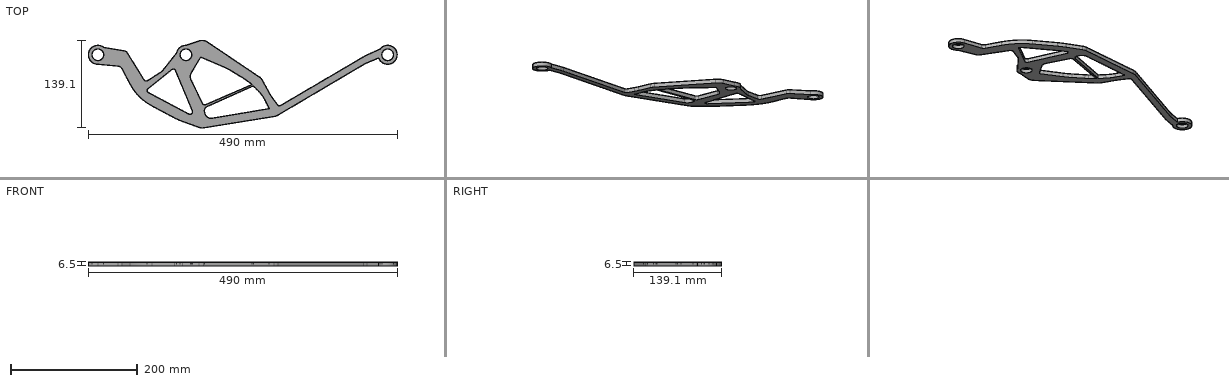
import cadquery as cq
import math

THICKNESS = 6.5
TOTAL_LENGTH = 490
HOLE_DIAMETER = 18.0
EYE_DIAMETER = 30.5
MIDDLE_HOLE_X = 139.5

EYE_RADIUS = EYE_DIAMETER / 2
RIGHT_HOLE_X = TOTAL_LENGTH - EYE_DIAMETER
HOLE_CENTRES = [(0, 0), (MIDDLE_HOLE_X, 0), (RIGHT_HOLE_X, 0)]

BODY_CORNERS = [
    (0, -EYE_RADIUS, 0),
    (36.5, -18.5, 7.5),
    (62.5, -69.0, 83.5),
    (127.5, -103.5, 98),
    (164.0, -116.5, 14.5),
    (282.5, -97.5, 19.5),
    (424.0, -14.0, 49),
    (446, -5, 0),
    (RIGHT_HOLE_X, 0, 0),
    (449.0, 10, 0),
    (425.0, -1.0, 49),
    (287.0, -82.0, 3.0),
    (275.0, -65.5, 49),
    (259.0, -37.0, 14.5),
    (167.5, 24.5, 14.5),
    (MIDDLE_HOLE_X, EYE_RADIUS, 0),
    (125.5, 4.0, 0),
    (102.0, -26.0, 14.5),
    (75.5, -43.0, 4.5),
    (45.0, 6.0, 7.5),
    (10, 12.0, 0),
    (0, EYE_RADIUS, 0),
]

TRIANGLE_WINDOW = [
    (75.5, -57.5, 3.5),
    (154.0, -99.0, 4.0),
    (121.0, -20.5, 3.5),
]

UPPER_WINDOW = [
    (163.0, -4.0, 1.0),
    (145.0, -34.0, 12.2),
    (167.5, -80.5, 4.0),
    (244.5, -47.0, 0),
    (232.3, -38.0, 73.5),
    (206, -22.0, 98),
]

LOWER_WINDOW = [
    (167.5, -85.0, 7.5),
    (172.5, -102.0, 10),
    (271.5, -85.5, 0),
    (260.5, -63.5, 49),
    (246.5, -49.5, 0),
]


def toward(start, end, distance):
    """Point at a distance from start along the line to end."""
    fraction = distance / math.dist(start, end)
    return tuple(a + (b - a) * fraction for a, b in zip(start, end))


def corner_arc(before, corner, after, radius):
    """Start, middle and end of the arc tangent to both sides of a corner."""
    unit_in = toward(corner, before, 5)
    unit_out = toward(corner, after, 5)
    half_angle = math.asin(math.dist(unit_in, unit_out) / 10)
    setback = radius / math.tan(half_angle)
    bisector = tuple((a + b) / 2 for a, b in zip(unit_in, unit_out))
    middle = toward(corner, bisector, radius / math.sin(half_angle) - radius)
    return toward(corner, before, setback), middle, toward(corner, after, setback)


def rounded_plate(corners):
    """Extrude a closed polygon whose corners have individual radii."""
    points = [(x, y) for x, y, _ in corners]
    start = toward(points[-1], points[0], math.dist(points[-1], points[0]) / 2)
    profile = cq.Workplane("XY").workplane(offset=-THICKNESS / 2).moveTo(*start)
    for i, (x, y, radius) in enumerate(corners):
        if radius == 0:
            profile = profile.lineTo(x, y)
            continue
        after = points[(i + 1) % len(points)]
        arc_start, middle, arc_end = corner_arc(points[i - 1], (x, y), after, radius)
        profile = profile.lineTo(*arc_start).threePointArc(middle, arc_end)
    return profile.close().extrude(THICKNESS)


def discs(diameter):
    """Full-thickness discs centred on the three holes."""
    plane = cq.Workplane("XY").workplane(offset=-THICKNESS / 2)
    return plane.pushPoints(HOLE_CENTRES).circle(diameter / 2).extrude(THICKNESS)


result = rounded_plate(BODY_CORNERS).union(discs(EYE_DIAMETER))

for window in (TRIANGLE_WINDOW, UPPER_WINDOW, LOWER_WINDOW):
    result = result.cut(rounded_plate(window))

result = result.cut(discs(HOLE_DIAMETER))